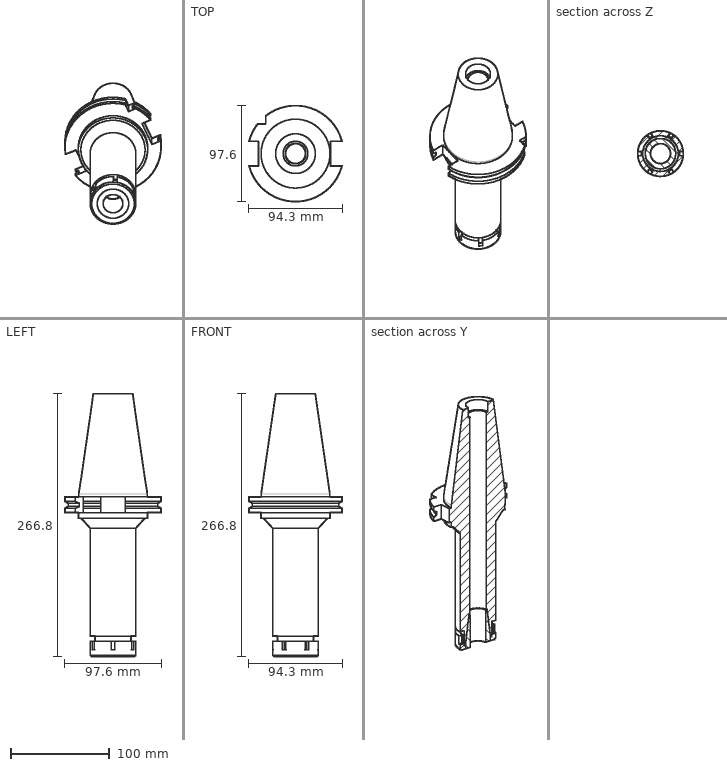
import cadquery as cq
import math

total_height = 266.8
gauge_height = 165.0
flange_top = 162.0
flange_bottom = 146.0
collar_bottom = 140.3
cone_bottom = 130.2
shank_bottom = 20.8

gauge_radius = 35.0
taper_ratio = 7 / 24
taper_top_radius = gauge_radius - (total_height - gauge_height) * taper_ratio / 2
flange_radius = 48.8
collar_radius = 35.2
shoulder_radius = 32.5
shank_radius = 23.2
neck_radius = 18.5

groove_depth = 3.2
groove_flank_angle = 30
groove_floor_width = 3.2
groove_half_floor = groove_floor_width / 2
groove_half_mouth = groove_half_floor + groove_depth * math.tan(math.radians(groove_flank_angle))
groove_height = (flange_top + flange_bottom) / 2
groove_floor_radius = flange_radius - groove_depth

slot_width = 25.0
left_slot_floor = 37.5
right_slot_floor = 35.5
notch_x = -30.5
notch_y = 30.1

bore_radius = 10.5
counterbore_radius = 12.5
counterbore_depth = 11.2

collet_bore_diameter = 20.0
collet_bore_radius = collet_bore_diameter / 2
collet_mouth_radius = 16.0
collet_length = 32.0
collet_half_angle = 8
collet_back_radius = collet_mouth_radius - collet_length * math.tan(math.radians(collet_half_angle))

nut_height = 15.7
nut_radius = 23.2
nut_chamfer = 1.5
nut_lip = 4.0
nut_slot_count = 6
nut_slot_width = 4.0
nut_slot_length = 8.8
nut_slot_floor = 19.5

collet_back = nut_lip + collet_length


def revolve_profile(points):
    """Revolve (radius, height) points about the Z axis."""
    return cq.Workplane("XZ").polyline(points).close().revolve(360, (0, 0, 0), (0, 1, 0))


def side_slot(floor_distance, width, bottom, top):
    """Block that cuts a radial slot from floor_distance outwards along +X."""
    reach = flange_radius
    return (
        cq.Workplane("XY", origin=(floor_distance, 0, bottom))
        .rect(2 * reach, width)
        .extrude(top - bottom)
        .translate((reach, 0, 0))
    )


def make_holder():
    """Tool holder: taper, grooved flange, collar, shank and neck."""
    holder = revolve_profile([
        (bore_radius, total_height - counterbore_depth),
        (counterbore_radius, total_height - counterbore_depth),
        (counterbore_radius, total_height),
        (taper_top_radius, total_height),
        (gauge_radius, gauge_height),
        (gauge_radius, flange_top),
        (flange_radius, flange_top),
        (flange_radius, groove_height + groove_half_mouth),
        (groove_floor_radius, groove_height + groove_half_floor),
        (groove_floor_radius, groove_height - groove_half_floor),
        (flange_radius, groove_height - groove_half_mouth),
        (flange_radius, flange_bottom),
        (collar_radius, flange_bottom),
        (collar_radius, collar_bottom),
        (shoulder_radius, collar_bottom),
        (shank_radius, cone_bottom),
        (shank_radius, shank_bottom),
        (neck_radius, shank_bottom),
        (neck_radius, nut_lip),
        (collet_mouth_radius, nut_lip),
        (collet_back_radius, collet_back),
        (bore_radius, collet_back),
    ])
    right_slot = side_slot(right_slot_floor, slot_width, flange_bottom, flange_top)
    left_slot = side_slot(left_slot_floor, slot_width, flange_bottom, flange_top)
    left_slot = left_slot.rotate((0, 0, 0), (0, 0, 1), 180)
    notch = (
        cq.Workplane("XY", origin=(notch_x, notch_y, flange_bottom))
        .rect(-flange_radius, flange_radius, centered=False)
        .extrude(flange_top - flange_bottom)
    )
    return holder.cut(right_slot).cut(left_slot).cut(notch)


def make_collet():
    """Tapered collet with a straight through bore."""
    return revolve_profile([
        (collet_bore_radius, 0),
        (collet_mouth_radius, 0),
        (collet_mouth_radius, nut_lip),
        (collet_back_radius, collet_back),
        (collet_bore_radius, collet_back),
    ])


def make_nut():
    """Clamping nut around the neck, with wrench slots open at its back face."""
    nut = revolve_profile([
        (collet_mouth_radius, 0),
        (nut_radius - nut_chamfer, 0),
        (nut_radius, nut_chamfer),
        (nut_radius, nut_height),
        (neck_radius, nut_height),
        (neck_radius, nut_lip),
        (collet_mouth_radius, nut_lip),
    ])
    slot = side_slot(nut_slot_floor, nut_slot_width, nut_height - nut_slot_length, nut_height)
    for index in range(nut_slot_count):
        nut = nut.cut(slot.rotate((0, 0, 0), (0, 0, 1), index * 360 / nut_slot_count))
    return nut


holder = make_holder()
collet = make_collet()
nut = make_nut()

result = cq.Compound.makeCompound([holder.val(), collet.val(), nut.val()])